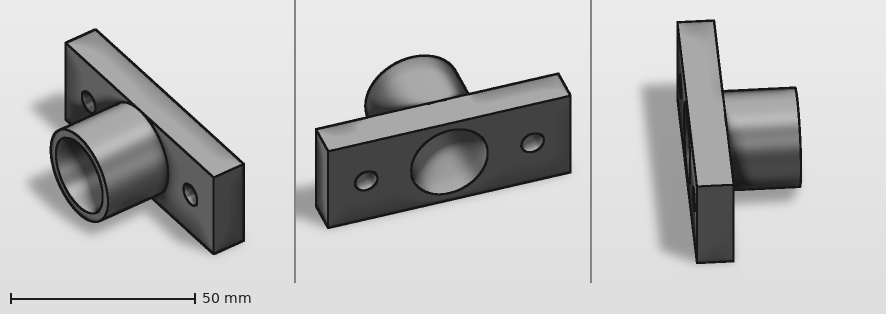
import cadquery as cq

plate_length = 70.0
plate_thickness = 10.0
plate_height = 27.1

tube_length = 2 * plate_thickness
tube_diameter = plate_height
bore_diameter = 22.1

hole_diameter = 6.45
hole_spacing = 48.0

total_depth = plate_thickness + tube_length


def cylinder_along_y(diameter, length, x=0.0):
    """Cylinder running from the plate's back face (Y = 0) toward -Y."""
    return cq.Workplane("XZ").center(x, 0).circle(diameter / 2).extrude(length)


plate = cq.Workplane("XZ").rect(plate_length, plate_height).extrude(plate_thickness)
tube = cylinder_along_y(tube_diameter, total_depth)
body = plate.union(tube)

body = body.cut(cylinder_along_y(bore_diameter, total_depth))

for side in (-1, 1):
    hole_x = side * hole_spacing / 2
    body = body.cut(cylinder_along_y(hole_diameter, plate_thickness, hole_x))

result = body